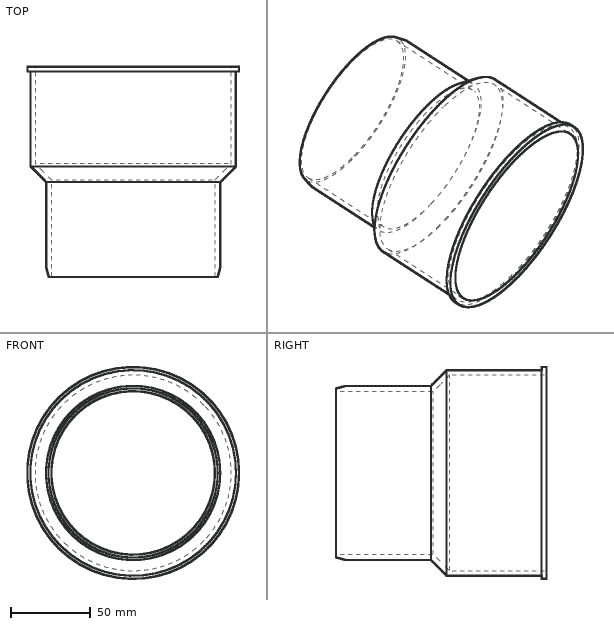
import cadquery as cq

length = 133.0
rim_diameter = 134.0
rim_thickness = 3.1
socket_outer_diameter = 130.0
socket_bore_diameter = 124.0
spigot_outer_diameter = 110.1
spigot_bore_diameter = 103.2
tip_diameter = 106.9
tip_chamfer_length = 6.0
socket_length = 63.1

inner_cone_shift = 1.9
outer_cone_length = (socket_outer_diameter - spigot_outer_diameter) / 2
inner_cone_length = (socket_bore_diameter - spigot_bore_diameter) / 2

rim_face = length / 2
tip_face = -length / 2
rim_back = rim_face - rim_thickness
cone_start = rim_face - socket_length
outer_cone_end = cone_start - outer_cone_length
inner_cone_start = cone_start + inner_cone_shift
inner_cone_end = inner_cone_start - inner_cone_length
chamfer_start = tip_face + tip_chamfer_length

wall_section = [
    (rim_diameter / 2, rim_face),
    (rim_diameter / 2, rim_back),
    (socket_outer_diameter / 2, rim_back),
    (socket_outer_diameter / 2, cone_start),
    (spigot_outer_diameter / 2, outer_cone_end),
    (spigot_outer_diameter / 2, chamfer_start),
    (tip_diameter / 2, tip_face),
    (spigot_bore_diameter / 2, tip_face),
    (spigot_bore_diameter / 2, inner_cone_end),
    (socket_bore_diameter / 2, inner_cone_start),
    (socket_bore_diameter / 2, rim_face),
]

result = (
    cq.Workplane("XY")
    .polyline(wall_section)
    .close()
    .revolve(360, (0, 0, 0), (0, 1, 0))
)